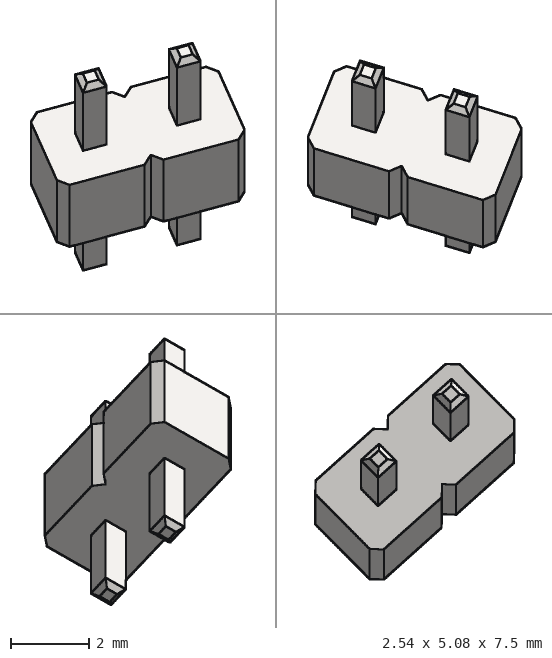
import cadquery as cq

pitch = 2.54
pin_count = 2
body_height = 2.5
corner_chamfer = 0.254
pin_width = 0.64
pin_length = 7.5
tip_chamfer = 0.16

pin_positions = [(i - (pin_count - 1) / 2) * pitch for i in range(pin_count)]


def housing_cell(y):
    """Square block around one pin, with bevelled vertical edges."""
    return (
        cq.Workplane("XY")
        .box(pitch, pitch, body_height)
        .edges("|Z")
        .chamfer(corner_chamfer)
        .translate((0, y, 0))
    )


def pin(y):
    """Square pin, with both ends bevelled, passing through its cell."""
    return (
        cq.Workplane("XY")
        .box(pin_width, pin_width, pin_length)
        .faces("<Z or >Z")
        .chamfer(tip_chamfer)
        .translate((0, y, 0))
    )


result = cq.Workplane("XY")
for y in pin_positions:
    result = result.union(housing_cell(y)).union(pin(y))
result = result.clean()